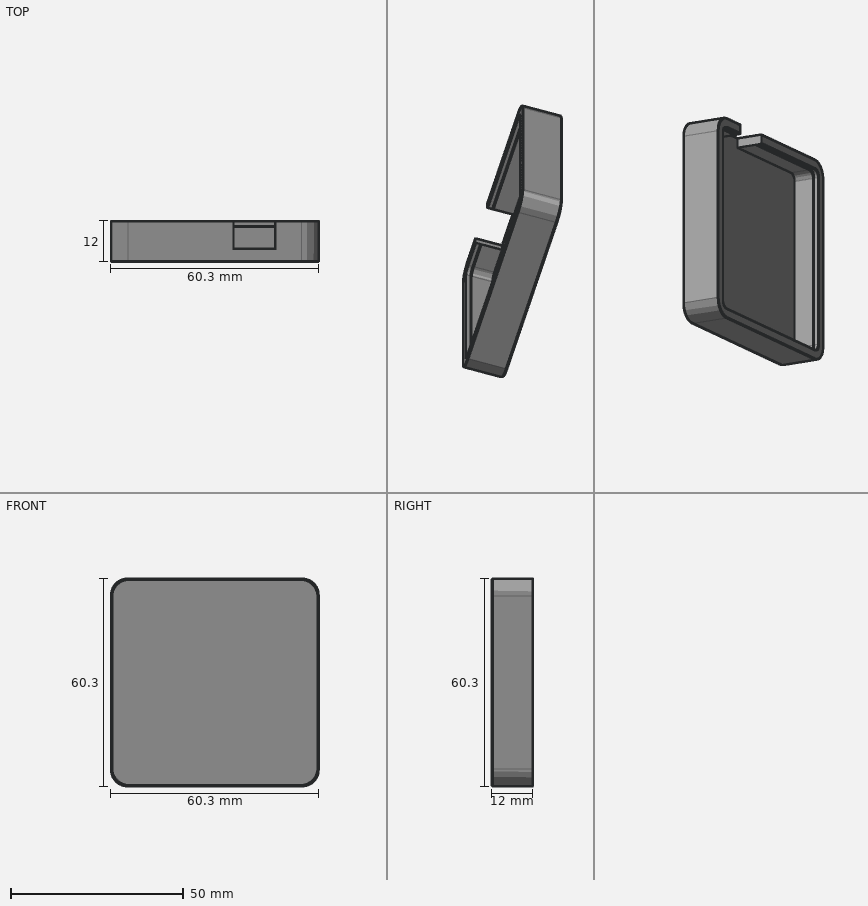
import cadquery as cq

side = 60.3
depth = 12.0
corner_radius = 5.0
front_chamfer = 0.4
mouth_chamfer = 0.2

wall = 2.9
floor = 3.9
cavity_side = side - 2 * wall
cavity_radius = corner_radius - wall

bead_to_mouth = 1.7
bead_height = 0.2

notch_width = 12.0
notch_center_x = 11.45
notch_depth = depth - floor
rim_chamfer = 0.1


def rounded_block(size, radius, y_start, y_end):
    """Square block with rounded corners, centred on the Y axis."""
    block = cq.Workplane("XZ", origin=(0, y_start, 0)).rect(size, size).extrude(y_start - y_end)
    return block.edges("|Y").fillet(radius)


def make_body():
    body = rounded_block(side, corner_radius, 0, depth)
    return body.faces("<Y").chamfer(front_chamfer)


def make_cavity():
    """Two blocks whose bevelled ends meet at the crest of the snap bead."""
    bead_y = depth - bead_to_mouth
    inner_part = rounded_block(cavity_side, cavity_radius, floor, bead_y)
    inner_part = inner_part.faces(">Y").chamfer(bead_height)
    outer_part = rounded_block(cavity_side, cavity_radius, bead_y, depth)
    outer_part = outer_part.faces("<Y").chamfer(bead_height)
    return inner_part.union(outer_part)


def make_notch():
    """Cutter from the part's centre up to the +Z side, flaring out at the rim."""
    notch = (
        cq.Workplane("XY", origin=(notch_center_x, depth, side / 2))
        .rect(notch_width + 2 * rim_chamfer, 2 * (notch_depth + rim_chamfer))
        .workplane(offset=-rim_chamfer)
        .rect(notch_width, 2 * notch_depth)
        .loft()
    )
    return notch.faces("<Z").wires().toPending().workplane().extrude(side / 2)


tray = make_body().cut(make_cavity())
tray = tray.faces(">Y").chamfer(mouth_chamfer)
result = tray.cut(make_notch())